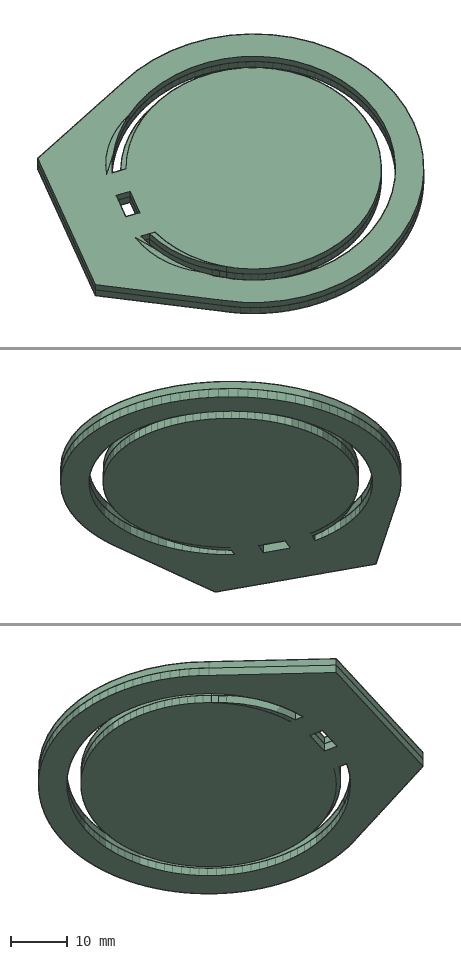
import cadquery as cq
import math

total_length = 65.05
ring_radius = 30.0
slot_radius = 25.0
disc_radius = 22.5
base_width = 30.0
tab_width = 15.0
shoulder_angle = -30.8
lower_thickness = 1.7
upper_thickness = 1.5

hole_width = 5.0
hole_top_y = -22.25
hole_bottom_y = -24.85

disc_insert_start = 212.0
disc_insert_mid = (-13.2, -19.05)
rim_insert_start = 222.0
rim_insert_mid = (-11.7, -23.35)
rim_insert_end = 243.5

outer_facets = 73
slot_facets = 91

base_y = ring_radius - total_length
half_base = base_width / 2
half_tab = tab_width / 2


def on_circle(radius, angle):
    """Point on a circle about the origin, with the angle in degrees."""
    return (radius * math.cos(math.radians(angle)), radius * math.sin(math.radians(angle)))


def facet_points(radius, start, end, count):
    """Corners of a faceted arc, both ends included."""
    return [on_circle(radius, start + (end - start) * i / count) for i in range(count + 1)]


def tab_angle(radius):
    """Angle at which a circle meets the +X side of the tab."""
    return -math.degrees(math.acos(half_tab / radius))


def layer_sketch(bottom):
    return cq.Workplane("XY", origin=(0, 0, bottom))


def tab_hole(bottom, height):
    return (
        layer_sketch(bottom)
        .center(0, (hole_top_y + hole_bottom_y) / 2)
        .rect(hole_width, hole_top_y - hole_bottom_y)
        .extrude(height)
    )


def disc_crescent(bottom, height):
    """Crescent that widens the disc beside the tab, on the -X side."""
    start = on_circle(disc_radius, disc_insert_start)
    end_angle = 180 - tab_angle(disc_radius)
    inner_mid = on_circle(disc_radius, (disc_insert_start + end_angle) / 2)
    return (
        layer_sketch(bottom)
        .moveTo(*start)
        .threePointArc(disc_insert_mid, (-half_tab, hole_top_y))
        .lineTo(*on_circle(disc_radius, end_angle))
        .threePointArc(inner_mid, start)
        .close()
        .extrude(height)
    )


def make_lower_plate():
    rim = facet_points(ring_radius, shoulder_angle, 180 - shoulder_angle, outer_facets)
    outline = [(half_base, base_y)] + rim + [(-half_base, base_y)]
    plate = cq.Workplane("XY").polyline(outline).close().extrude(lower_thickness)

    slot_start = tab_angle(slot_radius)
    disc_start = tab_angle(disc_radius)
    slot_wall = facet_points(slot_radius, slot_start, 180 - slot_start, slot_facets)
    disc_wall = facet_points(disc_radius, 180 - disc_start, disc_start, slot_facets)
    slot = cq.Workplane("XY").polyline(slot_wall + disc_wall).close().extrude(lower_thickness)
    crescent = disc_crescent(0, lower_thickness)
    slot = slot.cut(crescent).cut(crescent.mirror("YZ"))
    return plate.cut(slot).cut(tab_hole(0, lower_thickness))


def make_disc_insert():
    return disc_crescent(lower_thickness, upper_thickness)


def make_rim_insert():
    """Crescent against the rim on the -X side, its tip at the corner of the tab and the base."""
    start = on_circle(slot_radius, rim_insert_start)
    inner_mid = on_circle(slot_radius, (rim_insert_start + rim_insert_end) / 2)
    return (
        layer_sketch(lower_thickness)
        .moveTo(*start)
        .threePointArc(rim_insert_mid, (-half_tab, hole_bottom_y))
        .lineTo(*on_circle(slot_radius, rim_insert_end))
        .threePointArc(inner_mid, start)
        .close()
        .extrude(upper_thickness)
    )


def make_upper_plate(inserts):
    shoulder = on_circle(ring_radius, shoulder_angle)
    plate = (
        layer_sketch(lower_thickness)
        .moveTo(half_base, base_y)
        .lineTo(*shoulder)
        .threePointArc((0, ring_radius), (-shoulder[0], shoulder[1]))
        .lineTo(-half_base, base_y)
        .close()
        .extrude(upper_thickness)
    )
    slot_start = on_circle(slot_radius, tab_angle(slot_radius))
    disc_start = on_circle(disc_radius, tab_angle(disc_radius))
    slot = (
        layer_sketch(lower_thickness)
        .moveTo(*slot_start)
        .threePointArc((0, slot_radius), (-slot_start[0], slot_start[1]))
        .lineTo(-disc_start[0], disc_start[1])
        .threePointArc((0, disc_radius), disc_start)
        .close()
        .extrude(upper_thickness)
    )
    plate = plate.cut(slot).cut(tab_hole(lower_thickness, upper_thickness))
    for insert in inserts:
        plate = plate.cut(insert)
    return plate


lower_plate = make_lower_plate()
inserts = []
for insert in (make_disc_insert(), make_rim_insert()):
    inserts += [insert, insert.mirror("YZ")]
upper_plate = make_upper_plate(inserts)

result = cq.Compound.makeCompound(
    [lower_plate.val(), upper_plate.val()] + [insert.val() for insert in inserts]
)